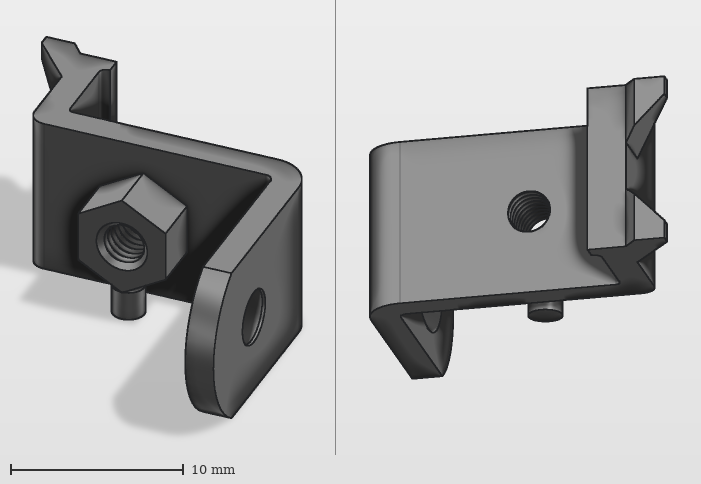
import cadquery as cq
import math

LENGTH = 19.77
DEPTH = 21.82
HEIGHT = 10.0
SHEET = 1.8
MID_Z = HEIGHT / 2

WEB_LEFT = 2.49
WEB_RIGHT = WEB_LEFT + SHEET
CLAW_TIP_DEPTH = 0.7
CLAW_TOP_WIDTH = 1.8
CLAW_STEP_DEPTH = 0.87
CLAW_STEP_X = 2.5
CLAW_BASE_DEPTH = 3.58
LIP_RIGHT = 4.8
LIP_DEPTH = 1.85
LIP_RADIUS = 0.44
NOTCH_HALF_HEIGHT = 1.42

PLATE_FRONT = -8.65
PLATE_REAR = PLATE_FRONT + SHEET
LEFT_OUTER_RADIUS = 1.0
LEFT_INNER_RADIUS = 0.33
RIGHT_INNER_RADIUS = 0.5
RIGHT_OUTER_RADIUS = RIGHT_INNER_RADIUS + SHEET

LEG_LEFT = LENGTH - SHEET
END_RADIUS = 6.0
LEG_HOLE_Y = END_RADIUS - DEPTH
LEG_HOLE_DIAMETER = 3.4
SINK_DIAMETER = 6.6

NUT_X = 9.78
NUT_FLATS = 5.5
NUT_THICKNESS = 3.2
NUT_FRONT = PLATE_FRONT - NUT_THICKNESS
BORE_DIAMETER = 2.5
ENTRY_DIAMETER = 3.2
THREAD_DIAMETER = 3.01
THREAD_PITCH = 0.5
PIN_DIAMETER = 2.0
PIN_HEIGHT = 1.85


def bent_sheet():
    """Constant-height strip with the claw profile, two bends and the right leg."""
    outline = [
        (0, 0),
        (CLAW_TOP_WIDTH, 0),
        (CLAW_STEP_X, -CLAW_STEP_DEPTH),
        (LIP_RIGHT, -CLAW_STEP_DEPTH),
        (LIP_RIGHT, -LIP_DEPTH),
        (WEB_RIGHT, -LIP_DEPTH),
        (WEB_RIGHT, PLATE_REAR),
        (LENGTH, PLATE_REAR),
        (LENGTH, -DEPTH),
        (LEG_LEFT, -DEPTH),
        (LEG_LEFT, PLATE_FRONT),
        (WEB_LEFT, PLATE_FRONT),
        (WEB_LEFT, -CLAW_BASE_DEPTH),
        (0, -CLAW_TIP_DEPTH),
    ]
    sheet = cq.Workplane("XY").polyline(outline).close().extrude(HEIGHT)
    rounded_corners = [
        (WEB_RIGHT, -LIP_DEPTH, LIP_RADIUS),
        (WEB_RIGHT, PLATE_REAR, LEFT_INNER_RADIUS),
        (WEB_LEFT, PLATE_FRONT, LEFT_OUTER_RADIUS),
        (LEG_LEFT, PLATE_FRONT, RIGHT_INNER_RADIUS),
        (LENGTH, PLATE_REAR, RIGHT_OUTER_RADIUS),
    ]
    for x, y, radius in rounded_corners:
        corner_edge = cq.selectors.NearestToPointSelector((x, y, MID_Z))
        sheet = sheet.edges("|Z").edges(corner_edge).fillet(radius)
    return sheet


def claw_notch():
    """45-degree opening that splits the claw into two teeth."""
    mouth_half_height = NOTCH_HALF_HEIGHT + WEB_LEFT
    return (
        cq.Workplane("XZ")
        .polyline([
            (0, MID_Z - mouth_half_height),
            (WEB_LEFT, MID_Z - NOTCH_HALF_HEIGHT),
            (WEB_LEFT, MID_Z + NOTCH_HALF_HEIGHT),
            (0, MID_Z + mouth_half_height),
        ])
        .close()
        .extrude(-PLATE_FRONT)
    )


def leg_end_waste():
    """Material outside the rounded end of the right leg."""
    block = cq.Workplane("XY").box(SHEET, END_RADIUS, HEIGHT, centered=False)
    block = block.translate((LEG_LEFT, -DEPTH, 0))
    end_disc = (
        cq.Workplane("YZ", origin=(LEG_LEFT, LEG_HOLE_Y, MID_Z))
        .circle(END_RADIUS)
        .extrude(SHEET)
    )
    return block.cut(end_disc)


def countersunk_hole():
    """Through hole along X with a 90-degree countersink on the inner face."""
    hole_radius = LEG_HOLE_DIAMETER / 2
    sink_radius = SINK_DIAMETER / 2
    sink_depth = sink_radius - hole_radius
    return (
        cq.Workplane("XY", origin=(LEG_LEFT, LEG_HOLE_Y, MID_Z))
        .polyline([
            (0, 0),
            (0, sink_radius),
            (sink_depth, hole_radius),
            (SHEET, hole_radius),
            (SHEET, 0),
        ])
        .close()
        .revolve(360, (0, 0, 0), (1, 0, 0))
    )


def nut():
    """Hexagonal boss on the front of the plate, with corners at top and bottom."""
    across_corners = NUT_FLATS / math.cos(math.pi / 6)
    return (
        cq.Workplane("XZ", origin=(NUT_X, PLATE_FRONT, MID_Z))
        .transformed(rotate=(0, 0, 90))
        .polygon(6, across_corners)
        .extrude(NUT_THICKNESS)
    )


def pin():
    """Upright pin below the nut, flush with the nut's front face."""
    return (
        cq.Workplane("XY", origin=(NUT_X, NUT_FRONT + PIN_DIAMETER / 2, 0))
        .circle(PIN_DIAMETER / 2)
        .extrude(PIN_HEIGHT)
    )


def threaded_bore():
    """Through bore with a 45-degree entry and one V-shaped ring groove per thread pitch."""
    bore_radius = BORE_DIAMETER / 2
    entry_radius = ENTRY_DIAMETER / 2
    thread_start = NUT_FRONT + entry_radius - bore_radius
    groove_count = math.floor((PLATE_REAR - thread_start) / THREAD_PITCH)
    profile = [(0, NUT_FRONT), (entry_radius, NUT_FRONT), (bore_radius, thread_start)]
    for turn in range(groove_count):
        groove_start = thread_start + turn * THREAD_PITCH
        profile.append((THREAD_DIAMETER / 2, groove_start + THREAD_PITCH / 2))
        profile.append((bore_radius, groove_start + THREAD_PITCH))
    profile += [(bore_radius, PLATE_REAR), (0, PLATE_REAR)]
    return (
        cq.Workplane("XY", origin=(NUT_X, 0, MID_Z))
        .polyline(profile)
        .close()
        .revolve(360, (0, 0, 0), (0, 1, 0))
    )


bracket = bent_sheet().cut(claw_notch()).cut(leg_end_waste()).cut(countersunk_hole())
result = bracket.union(nut()).union(pin()).cut(threaded_bore())